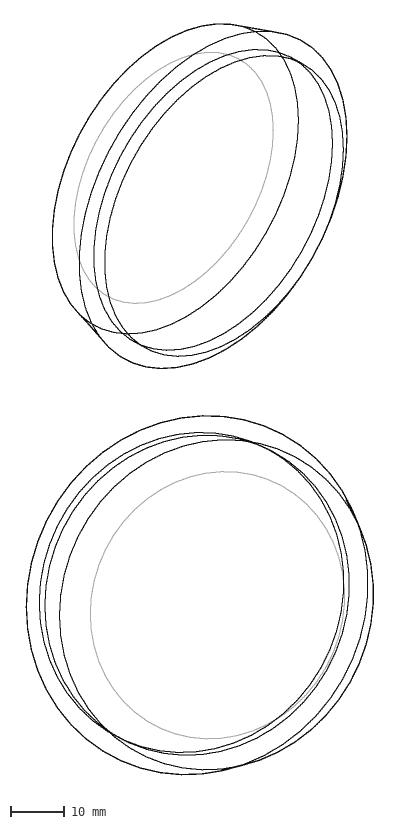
import cadquery as cq

total_length = 14.0
rim_diameter = 68.5
spigot_diameter = 61.0
spigot_length = 3.0
front_diameter = 62.95
flat_diameter = 50.95
front_rise = 0.5

rim_x = total_length - spigot_length

result = (
    cq.Workplane("XY")
    .moveTo(0, 0)
    .lineTo(0, flat_diameter / 2)
    .lineTo(front_rise, front_diameter / 2)
    .lineTo(rim_x, rim_diameter / 2)
    .lineTo(rim_x, spigot_diameter / 2)
    .lineTo(total_length, spigot_diameter / 2)
    .lineTo(total_length, 0)
    .close()
    .revolve(360, (0, 0, 0), (1, 0, 0))
)